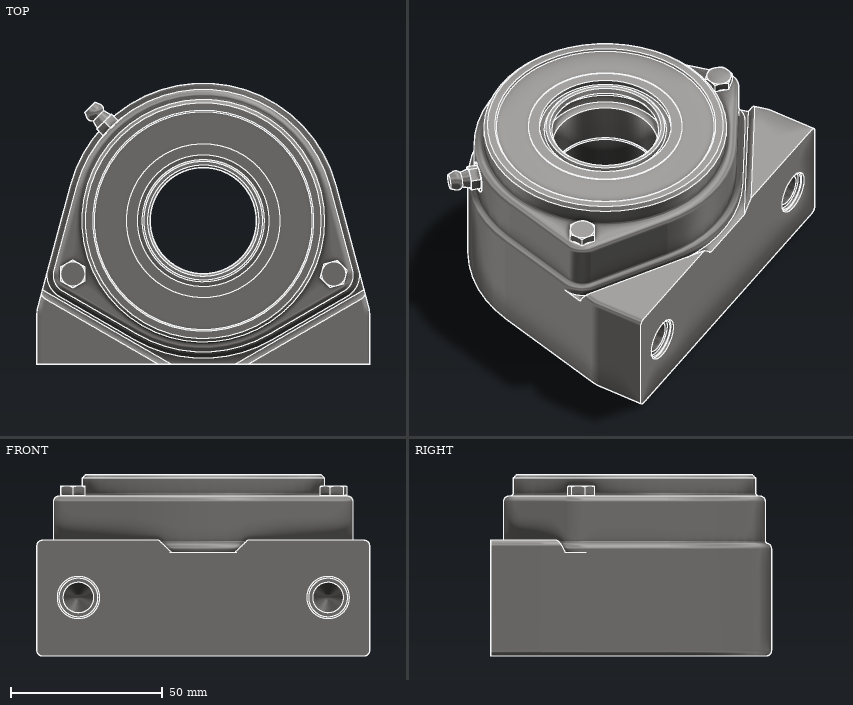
import cadquery as cq
import math


ring_top = 60.0
collar_top = 52.97
rim_base = 35.4
block_top = 38.4
pocket_floor = 34.3

block_width = 110.07
face_distance = 47.48
body_radius = 45.45
side_angle = 15.0
side_blend_radius = 10.0
block_edge_radius = 2.0

collar_radius = 43.4
collar_corner_radius = 6.0
lower_edge_angle = 30.0
collar_edge_radius = 2.0
rim_step = body_radius - collar_radius
rim_outer_radius = 2.0
rim_inner_radius = 0.75

pocket_floor_offset = 46.35
pocket_top_offset = 48.5

ring_radius = 40.1
ring_chamfer = 1.15
ring_root_radius = 1.0

disc_radius = 36.0
disc_top = 59.3
disc_thickness = 9.1
mouth_radius = 36.5

insert_radius = 25.4
insert_top = 59.6
groove_outer_radius = 21.75
groove_inner_radius = 20.2
groove_floor = 57.8
lip_top = 59.15
lip_outer_radius = 19.6
lip_inner_radius = 18.4
lip_throat_radius = 17.6
lip_throat = 57.7
cavity_radius = 21.75
cavity_bottom = 52.8
sleeve_top = 51.1
sleeve_outer_radius = 20.4
shaft_radius = 17.5
bore_groove_height = 37.1
bore_groove_depth = 0.4

hole_spacing = 82.5
hole_height = 19.4
hole_steps = [(14.0, 1.0), (12.8, 2.0), (10.11, 20.0)]
drill_point_angle = 118.0

bolt_across_flats = 8.0
bolt_head_height = 3.1
washer_face_height = 0.2
washer_face_diameter = 7.4
bolt_edge_chamfer_angle = 30.0
bolt_x = 43.1
bolt_y = -17.6
bolt_turns = {-bolt_x: 90.0, bolt_x: 15.0}

nipple_azimuth = 135.0
nipple_height = 45.9
spotface_diameter = 10.0
spotface_distance = 43.05
nipple_across_flats = 7.0
nipple_hex_end = 46.3
nipple_neck = 49.0
nipple_head_middle = 50.4
nipple_head_end = 51.6
nipple_tip = 53.0
nipple_foot_radius = 3.2
nipple_neck_radius = 2.5
nipple_head_radius = 6.5 / 2
nipple_head_end_radius = 3.0
nipple_tip_radius = 2.4


def polar(radius, angle):
    """Point at a radius and an angle in degrees, counted from +X."""
    return (radius * math.cos(math.radians(angle)), radius * math.sin(math.radians(angle)))


def mirrored(point):
    return (-point[0], point[1])


def collar_outline(z, offset=0.0):
    """Collar outline at height z: two arcs about the bore and two rounded corners."""
    big = collar_radius + offset
    corner = collar_corner_radius + offset
    lower_normal = lower_edge_angle - 90
    middle = (side_angle + lower_normal) / 2
    half_turn = math.radians((side_angle - lower_normal) / 2)
    center = polar((big - corner) / math.cos(half_turn), middle)

    def on_corner(angle):
        dx, dy = polar(corner, angle)
        return (center[0] + dx, center[1] + dy)

    side_top = polar(big, side_angle)
    lower_end = polar(big, lower_normal)
    return (
        cq.Workplane("XY", origin=(0, 0, z))
        .moveTo(*side_top)
        .lineTo(*on_corner(side_angle))
        .threePointArc(on_corner(middle), on_corner(lower_normal))
        .lineTo(*lower_end)
        .threePointArc((0, -big), mirrored(lower_end))
        .lineTo(*mirrored(on_corner(lower_normal)))
        .threePointArc(mirrored(on_corner(middle)), mirrored(on_corner(side_angle)))
        .lineTo(*mirrored(side_top))
        .threePointArc((0, big), side_top)
        .close()
    )


def make_block():
    """Block with a round back, slanted sides and a flat mounting face."""
    half = block_width / 2
    slope = math.radians(side_angle)
    bend_y = (body_radius - half * math.cos(slope)) / math.sin(slope)
    side_top = polar(body_radius, side_angle)
    block = (
        cq.Workplane("XY")
        .moveTo(-half, -face_distance)
        .lineTo(half, -face_distance)
        .lineTo(half, bend_y)
        .lineTo(*side_top)
        .threePointArc((0, body_radius), mirrored(side_top))
        .lineTo(-half, bend_y)
        .close()
        .extrude(block_top)
    )
    bends = cq.selectors.BoxSelector((-half - 1, bend_y - 1, 0), (half + 1, bend_y + 1, block_top))
    block = block.edges("|Z").edges(bends).fillet(side_blend_radius)
    return block.faces("<Z or >Z").edges("not(<Y)").fillet(block_edge_radius)


def make_pocket():
    """Space above the pocket floor, bounded by two steep walls along the collar's lower edges."""
    reach = block_width
    slope = math.cos(math.radians(lower_edge_angle))
    wall_rise = reach * math.tan(math.radians(lower_edge_angle))

    def wedge(z, offset):
        point_y = -offset / slope
        return cq.Wire.makePolygon(
            [
                cq.Vector(0, point_y, z),
                cq.Vector(reach, point_y + wall_rise, z),
                cq.Vector(reach, reach, z),
                cq.Vector(-reach, reach, z),
                cq.Vector(-reach, point_y + wall_rise, z),
            ],
            close=True,
        )

    loft = cq.Solid.makeLoft(
        [wedge(pocket_floor, pocket_floor_offset), wedge(block_top, pocket_top_offset)], True
    )
    return cq.Workplane(loft)


def make_rim():
    """Rounded step around the collar: a convex arc that flows into a concave one."""
    radii = rim_outer_radius + rim_inner_radius
    turn = math.degrees(math.acos(1 - rim_step / radii))
    outer_center = (body_radius - rim_outer_radius, rim_base)
    rim_top = rim_base + radii * math.sin(math.radians(turn))
    inner_center = (collar_radius + rim_inner_radius, rim_top)

    def on_outer(angle):
        dy, dz = polar(rim_outer_radius, angle)
        return (outer_center[0] + dy, outer_center[1] + dz)

    def on_inner(angle):
        dy, dz = polar(rim_inner_radius, 180 + angle)
        return (inner_center[0] + dy, inner_center[1] + dz)

    root = collar_radius - rim_step
    path_start = cq.Plane(
        origin=(0, 0, 0),
        xDir=(*polar(1, side_angle), 0),
        normal=(*polar(1, side_angle - 90), 0),
    )
    profile = (
        cq.Workplane(path_start)
        .moveTo(root, pocket_floor)
        .lineTo(body_radius, pocket_floor)
        .lineTo(body_radius, rim_base)
        .threePointArc(on_outer(turn / 2), on_outer(turn))
        .threePointArc(on_inner(turn / 2), on_inner(0))
        .lineTo(root, rim_top)
        .close()
    )
    return profile.sweep(collar_outline(rim_base))


def make_collar():
    """Collar above the block with the round ring on it."""
    collar = collar_outline(pocket_floor).extrude(collar_top - pocket_floor)
    collar = collar.faces(">Z").edges().fillet(collar_edge_radius)
    root_top = collar_top + ring_root_radius
    root_middle = ring_root_radius * (1 - math.sqrt(0.5))
    ring = (
        cq.Workplane("XZ")
        .moveTo(0, collar_top)
        .lineTo(ring_radius + ring_root_radius, collar_top)
        .threePointArc(
            (ring_radius + root_middle, collar_top + root_middle), (ring_radius, root_top)
        )
        .lineTo(ring_radius, ring_top - ring_chamfer)
        .lineTo(ring_radius - ring_chamfer, ring_top)
        .lineTo(0, ring_top)
        .close()
        .revolve(360, (0, 0, 0), (0, 1, 0))
    )
    return collar.union(ring)


def make_mounting_hole(x):
    """Stepped blind hole with a drill point, cut from the -Y face."""
    tip_depth = hole_steps[-1][1]
    tip_depth += hole_steps[-1][0] / 2 / math.tan(math.radians(drill_point_angle / 2))
    profile = cq.Workplane("XY", origin=(x, -face_distance, hole_height)).moveTo(0, 0)
    start = 0.0
    for diameter, end in hole_steps:
        profile = profile.lineTo(diameter / 2, start).lineTo(diameter / 2, end)
        start = end
    return profile.lineTo(0, tip_depth).close().revolve(360, (0, 0, 0), (0, 1, 0))


def nipple_plane(distance):
    """Plane across the nipple axis, facing outwards, at a distance from the bore axis."""
    x, y = polar(distance, nipple_azimuth)
    across = polar(1, nipple_azimuth + 90)
    outward = polar(1, nipple_azimuth)
    return cq.Plane(origin=(x, y, nipple_height), xDir=(*across, 0), normal=(*outward, 0))


def make_housing():
    housing = make_block().cut(make_pocket()).union(make_rim()).union(make_collar())
    seat = cq.Workplane("XY", origin=(0, 0, disc_top - disc_thickness))
    housing = housing.cut(seat.circle(disc_radius).extrude(disc_thickness))
    housing = housing.cut(cq.Workplane("XY").circle(insert_radius).extrude(ring_top))
    mouth = cq.Solid.makeCone(
        disc_radius, mouth_radius, ring_top - disc_top, pnt=cq.Vector(0, 0, disc_top)
    )
    housing = housing.cut(cq.Workplane(mouth))
    for x in (-hole_spacing / 2, hole_spacing / 2):
        housing = housing.cut(make_mounting_hole(x))
    spotface = cq.Workplane(nipple_plane(spotface_distance)).circle(spotface_diameter / 2)
    return housing.cut(spotface.extrude(collar_radius - spotface_distance + rim_step))


def make_disc():
    """Flat ring that closes the top of the bore around the insert."""
    seat = cq.Workplane("XY", origin=(0, 0, disc_top - disc_thickness))
    return seat.circle(disc_radius).circle(insert_radius).extrude(disc_thickness)


def make_insert():
    """Seal and sleeve insert, turned about the bore axis."""
    profile = [
        (insert_radius, 0),
        (insert_radius, insert_top),
        (groove_outer_radius, insert_top),
        (groove_outer_radius, groove_floor),
        (groove_inner_radius, groove_floor),
        (lip_outer_radius, lip_top),
        (lip_inner_radius, lip_top),
        (lip_throat_radius, lip_throat),
        (cavity_radius, cavity_bottom),
        (sleeve_outer_radius, sleeve_top),
        (shaft_radius, sleeve_top),
        (shaft_radius, bore_groove_height + bore_groove_depth),
        (shaft_radius + bore_groove_depth, bore_groove_height),
        (shaft_radius, bore_groove_height - bore_groove_depth),
        (shaft_radius, 0),
    ]
    return cq.Workplane("XZ").polyline(profile).close().revolve(360, (0, 0, 0), (0, 1, 0))


def hexagon_diameter(across_flats):
    return across_flats / math.cos(math.pi / 6)


def make_bolt(x, turn):
    """Hexagon bolt head on the collar: washer face below, top corners turned off."""
    seat = cq.Workplane("XY", origin=(x, bolt_y, collar_top))
    corner_diameter = hexagon_diameter(bolt_across_flats)
    head = (
        seat.workplane(offset=washer_face_height)
        .transformed(rotate=(0, 0, turn))
        .polygon(6, corner_diameter)
        .extrude(bolt_head_height)
    )
    corner_cut = (corner_diameter - bolt_across_flats) / 2
    corner_drop = corner_cut * math.tan(math.radians(bolt_edge_chamfer_angle))
    blank = seat.circle(corner_diameter / 2).extrude(washer_face_height + bolt_head_height)
    blank = blank.faces(">Z").chamfer(corner_drop, corner_cut)
    washer_face = seat.circle(washer_face_diameter / 2).extrude(washer_face_height)
    return head.intersect(blank).union(washer_face)


def make_nipple():
    """Grease nipple with a hexagon foot, pointing out of the spotface."""
    foot = (
        cq.Workplane(nipple_plane(spotface_distance))
        .transformed(rotate=(0, 0, 90))
        .polygon(6, hexagon_diameter(nipple_across_flats))
        .extrude(nipple_hex_end - spotface_distance)
    )
    axis_plane = cq.Plane(
        origin=(0, 0, nipple_height), xDir=(0, 0, 1), normal=(*polar(1, nipple_azimuth + 90), 0)
    )
    stem = (
        cq.Workplane(axis_plane)
        .moveTo(0, nipple_hex_end)
        .lineTo(nipple_foot_radius, nipple_hex_end)
        .lineTo(nipple_neck_radius, nipple_neck)
        .threePointArc(
            (nipple_head_radius, nipple_head_middle), (nipple_head_end_radius, nipple_head_end)
        )
        .lineTo(nipple_tip_radius, nipple_tip)
        .lineTo(0, nipple_tip)
        .close()
        .revolve(360, (0, 0, 0), (0, 1, 0))
    )
    return foot.union(stem)


housing = make_housing()
disc = make_disc()
insert = make_insert()
bolts = [make_bolt(x, turn) for x, turn in bolt_turns.items()]
nipple = make_nipple()

result = cq.Compound.makeCompound(
    [housing.val(), disc.val(), insert.val(), *[bolt.val() for bolt in bolts], nipple.val()]
)